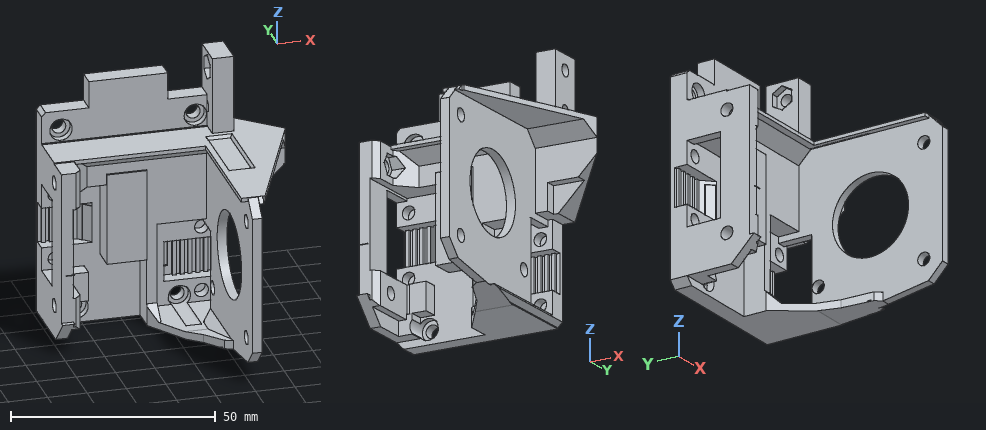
import cadquery as cq
import math


PLATE_WIDTH = 44.0
PLATE_HEIGHT = 57.05
PLATE_DEPTH = 5.0
TOP_CORNER = 1.0
BOTTOM_LEFT_CORNER = 2.0
BOTTOM_RIGHT_CORNER = 1.6
TAB_LEFT, TAB_RIGHT, TAB_TOP = 12.0, 32.05, 64.05
POST_LEFT, POST_RIGHT, POST_TOP = 42.0, 47.5, 68.65
POST_DEPTH = 9.7

SHELF_TOP = 48.7
SHELF_THICKNESS = 1.0
SHELF_DEPTH = 16.6
SHELF_INNER_X = 38.45
SHELF_END_DEPTH = 49.3
GUSSET_THICKNESS = 1.45
GUSSET_TIP_X, GUSSET_TIP_DEPTH = 60.15, 11.2
GUSSET_NOSE_X, GUSSET_NOSE_DEPTH = 43.9, 50.8
GUSSET_BRACE = 3.9
SEAM_WIDTH, SEAM_HEIGHT = 0.3, 0.2

WALL_DEPTH = 11.0
WALL_LEFT = 5.15
WALL_CHAMFER = 3.5
WALL_CORNER = 4.7
BLOCK_LEFT, BLOCK_RIGHT, BLOCK_BOTTOM, BLOCK_TOP = 14.8, 25.0, 17.65, 41.5
BLOCK_DEPTH = 11.5
RIB_RIGHT = 27.7

LEFT_BAY_BOTTOM, LEFT_BAY_TOP = 15.0, 38.65
RIGHT_BAY_TOP = 26.65
FLOOR = 2.0

ARM_WIDTH = 5.15
ARM_DEPTH = 23.35
ARM_TOP = 48.4
ARM_CHAMFER = 1.5
ARM_OUTER_WIDTH = 3.0
LIP_DEPTH, LIP_TOP = 24.65, 8.65
ARM_INNER_BOTTOM = 6.0
WINDOW_TOP = 37.95
WINDOW_DEPTH = 14.75
FOOT_RIGHT, FOOT_TOP = 6.8, 7.35
PAD_LEFT, PAD_RIGHT, PAD_DEPTH = 6.05, 10.8, 9.1
PAD_STEP = 0.35

MOTOR_LEFT, MOTOR_RIGHT = 40.15, 42.7
MOTOR_DEPTH = 53.3
MOTOR_CORNER = 4.1
MOTOR_LOW, MOTOR_CORNER_LOW = 4.45, 8.7
SLOPE_START = 22.0
MOTOR_BORE = 22.3
MOTOR_BORE_DEPTH, MOTOR_BORE_Z = 32.05, 26.0
MOTOR_HOLE_PITCH = 31.0
MOTOR_HOLE_DEPTH, MOTOR_HOLE_Z = 16.7, 10.6
PASSAGE_TOP = 24.9
PASSAGE_DEPTH, PASSAGE_TAPER = 14.75, 1.5

SCREW = 3.5
COUNTERBORE = 5.6
COUNTERBORE_DEPTH = 2.0
TOP_SCREW_X, TOP_SCREW_Z = (4.95, 39.0), 52.05
LOW_SCREW_X, LOW_SCREW_Z = (9.0, 34.95), 4.0
LOW_COUNTERBORE_END = 18.3
CLAMP_PITCH = 17.0
CLAMP_HOLE_LENGTH = 3.0
LEFT_CLAMP_X, LEFT_CLAMP_Z = 3.4, 17.85
RIGHT_CLAMP_X, RIGHT_CLAMP_Z = 40.6, 4.95
NUT = 5.6
ARM_NUT_Z = 43.4
ARM_NUT_START = 3.6
POST_HOLE_DEPTH = 4.8
POST_TOP_HOLE, POST_TOP_HOLE_Z = 3.2, 64.4
POST_LOW_HOLE, POST_LOW_HOLE_Z = 3.0, 54.0
POST_NUT_DEPTH = 2.05

BELT_PITCH = 2.0
TOOTH_STEP = BELT_PITCH / 2
TOOTH_DEPTH, ROOT_DEPTH = 2.0, 1.25
BELT_HEIGHT = 10.6
LEFT_BELT_Z, LEFT_TEETH_END = 21.0, 9.8
RIGHT_BELT_Z, RIGHT_BELT_START, RIGHT_TEETH_START = 8.4, 31.0, 34.05
RAMP_LENGTH = PLATE_DEPTH - TOOTH_DEPTH
RAMP_POCKET_START = 1.1
RAMP_POCKET_LIFT = 0.95
RAMP_POCKET_RECESS = 0.3
END_POCKET_WIDTH, END_POCKET_LIFT, END_POCKET_DEPTH = 2.0, 2.4, 0.6

WEB_RISE_START, WEB_END, WEB_END_TOP = 21.7, 35.7, 4.6
WEB_WEDGE_WIDTH, WEB_WEDGE_TOP, WEB_WEDGE_START = 2.5, 4.25, 14.75
WEB_RIGHT_END = 33.65
WEB_BEND_X, WEB_BEND_DEPTH = 35.15, 26.7
WEB_TAIL_X, WEB_TAIL_DEPTH = 38.3, 34.3
RIB_FOOT = 3.65

LABEL_LEFT, LABEL_RIGHT = 40.0, 46.6
LABEL_START, LABEL_END = 11.1, 32.3
LABEL_TAPER = 0.55
LABEL_RECESS = 0.8
RELIEF_LEFT, RELIEF_TOP, RELIEF_DEPTH = 46.2, 34.0, 8.25

STRAND_LEFT = 0.95
STRAND_SIZE = 0.1
STRAND_DEPTH, STRAND_Z = 24.2, 21.55


def block(x, depth, z):
    """Box between two x, two depth and two z limits."""
    size = (x[1] - x[0], depth[1] - depth[0], z[1] - z[0])
    return cq.Workplane("XY").box(*size, centered=False).translate((x[0], -depth[1], z[0]))


def prism_up(outline, bottom, top):
    """Prism of an (x, depth) outline between two heights."""
    points = [(x, -depth) for x, depth in outline]
    return cq.Workplane("XY").workplane(offset=bottom).polyline(points).close().extrude(top - bottom)


def prism_across(outline, left, right):
    """Prism of a (depth, z) outline between two x limits."""
    points = [(-depth, z) for depth, z in outline]
    return cq.Workplane("YZ").workplane(offset=left).polyline(points).close().extrude(right - left)


def prism_forward(outline, back, front):
    """Prism of an (x, z) outline between two depths."""
    return cq.Workplane("XZ").workplane(offset=back).polyline(outline).close().extrude(front - back)


def hole_across(diameter, depth, z, left, right):
    start = cq.Workplane("YZ").workplane(offset=left).center(-depth, z)
    return start.circle(diameter / 2).extrude(right - left)


def hole_forward(diameter, x, z, back, front):
    start = cq.Workplane("XZ").workplane(offset=back).center(x, z)
    return start.circle(diameter / 2).extrude(front - back)


def nut_across(depth, z, left, right, turn):
    """Hexagonal nut trap along x; turn is the rotation of its corners in degrees."""
    corner = NUT / math.sqrt(3)
    angles = [math.radians(turn + 60 * i) for i in range(6)]
    outline = [(depth + corner * math.cos(a), z + corner * math.sin(a)) for a in angles]
    return prism_across(outline, left, right)


def make_plate():
    outline = [
        (BOTTOM_LEFT_CORNER, 0),
        (PLATE_WIDTH - BOTTOM_RIGHT_CORNER, 0),
        (PLATE_WIDTH, BOTTOM_RIGHT_CORNER),
        (PLATE_WIDTH, PLATE_HEIGHT),
        (TAB_RIGHT, PLATE_HEIGHT),
        (TAB_RIGHT, TAB_TOP),
        (TAB_LEFT, TAB_TOP),
        (TAB_LEFT, PLATE_HEIGHT),
        (TOP_CORNER, PLATE_HEIGHT),
        (0, PLATE_HEIGHT - TOP_CORNER),
        (0, BOTTOM_LEFT_CORNER),
    ]
    plate = prism_forward(outline, 0, PLATE_DEPTH)
    post = block((POST_LEFT, POST_RIGHT), (0, POST_DEPTH), (SHELF_TOP - SHELF_THICKNESS, POST_TOP))
    return plate.union(post)


def gusset_outline():
    """Outline of the gusset, cut off where the shelf ends on its slanted side."""
    end_share = (GUSSET_NOSE_DEPTH - SHELF_END_DEPTH) / (GUSSET_NOSE_DEPTH - GUSSET_TIP_DEPTH)
    end_x = GUSSET_NOSE_X + end_share * (GUSSET_TIP_X - GUSSET_NOSE_X)
    return [
        (MOTOR_LEFT, 0),
        (POST_RIGHT, 0),
        (GUSSET_TIP_X, GUSSET_TIP_DEPTH),
        (end_x, SHELF_END_DEPTH),
        (MOTOR_LEFT, SHELF_END_DEPTH),
    ]


def make_shelf():
    shelf = block((0, POST_RIGHT), (0, SHELF_DEPTH), (SHELF_TOP - SHELF_THICKNESS, SHELF_TOP))
    gusset = prism_up(gusset_outline(), SHELF_TOP - GUSSET_THICKNESS, SHELF_TOP)
    overhang = block(
        (SHELF_INNER_X, MOTOR_RIGHT),
        (SHELF_DEPTH, SHELF_END_DEPTH),
        (SHELF_TOP - SHELF_THICKNESS, SHELF_TOP),
    )
    seam = block(
        (0, POST_LEFT), (PLATE_DEPTH, PLATE_DEPTH + SEAM_WIDTH), (SHELF_TOP, SHELF_TOP + SEAM_HEIGHT)
    )
    return shelf.union(gusset).union(overhang).union(seam)


def make_gusset_wall():
    """Wall under the gusset tip, with a 45 degree foot line and a 45 degree brace under the shelf."""
    tip_bottom = RIGHT_BAY_TOP + GUSSET_TIP_X - POST_RIGHT
    side = [
        (MOTOR_LEFT, RIGHT_BAY_TOP),
        (POST_RIGHT, RIGHT_BAY_TOP),
        (GUSSET_TIP_X, tip_bottom),
        (GUSSET_TIP_X, SHELF_TOP),
        (MOTOR_LEFT, SHELF_TOP),
    ]
    wall = prism_forward(side, 0, GUSSET_TIP_DEPTH)
    under_shelf = SHELF_TOP - GUSSET_THICKNESS
    brace = prism_across(
        [
            (GUSSET_TIP_DEPTH, under_shelf),
            (GUSSET_TIP_DEPTH + GUSSET_BRACE, under_shelf),
            (GUSSET_TIP_DEPTH, under_shelf - GUSSET_BRACE),
        ],
        MOTOR_LEFT,
        GUSSET_TIP_X,
    )
    relief = block(
        (RELIEF_LEFT, GUSSET_TIP_X), (RELIEF_DEPTH, GUSSET_TIP_DEPTH), (RIGHT_BAY_TOP, RELIEF_TOP)
    )
    return wall.union(brace).intersect(prism_up(gusset_outline(), 0, SHELF_TOP)).cut(relief)


def make_wall():
    """Wall in front of the plate, chamfered into the shelf above and the arm on its left."""
    upper_left = block((0, RIB_RIGHT), (0, WALL_DEPTH), (LEFT_BAY_TOP, SHELF_TOP))
    upper_right = block((BLOCK_RIGHT, MOTOR_RIGHT), (0, WALL_DEPTH), (RIGHT_BAY_TOP, SHELF_TOP))
    rib = block((BLOCK_RIGHT, RIB_RIGHT), (0, WALL_DEPTH), (0, SHELF_TOP))
    raised = block((BLOCK_LEFT, BLOCK_RIGHT), (0, BLOCK_DEPTH), (BLOCK_BOTTOM, BLOCK_TOP))
    under_shelf = SHELF_TOP - SHELF_THICKNESS
    chamfer = prism_across(
        [
            (WALL_DEPTH, under_shelf),
            (WALL_DEPTH + WALL_CHAMFER, under_shelf),
            (WALL_DEPTH, under_shelf - WALL_CHAMFER),
        ],
        0,
        MOTOR_RIGHT,
    )
    corner = prism_up(
        [
            (WALL_LEFT, WALL_DEPTH),
            (WALL_LEFT + WALL_CORNER, WALL_DEPTH),
            (WALL_LEFT, WALL_DEPTH + WALL_CORNER),
        ],
        LEFT_BAY_TOP,
        SHELF_TOP,
    )
    return upper_left.union(upper_right).union(rib).union(raised).union(chamfer).union(corner)


def make_arm():
    outline = [
        (0, 0),
        (0, ARM_DEPTH),
        (ARM_WIDTH - ARM_CHAMFER, ARM_DEPTH),
        (ARM_WIDTH, ARM_DEPTH - ARM_CHAMFER),
        (ARM_WIDTH, 0),
    ]
    arm = prism_up(outline, FLOOR, ARM_TOP)
    arm = arm.union(block((0, ARM_OUTER_WIDTH), (0, LIP_DEPTH), (FLOOR, LIP_TOP)))
    under_lip = prism_across(
        [(LIP_DEPTH, LIP_TOP), (LIP_DEPTH - LIP_TOP, 0), (LIP_DEPTH, 0)], 0, ARM_WIDTH
    )
    arm = arm.cut(under_lip)
    arm = arm.cut(block((ARM_OUTER_WIDTH, ARM_WIDTH), (PLATE_DEPTH, LIP_DEPTH), (0, ARM_INNER_BOTTOM)))
    bay = (LEFT_BAY_BOTTOM, LEFT_BAY_TOP)
    arm = arm.cut(block((ARM_OUTER_WIDTH, ARM_WIDTH), (PLATE_DEPTH, LIP_DEPTH), bay))
    arm = arm.cut(block((0, ARM_WIDTH), (PLATE_DEPTH, WINDOW_DEPTH), (LEFT_BAY_BOTTOM, WINDOW_TOP)))
    foot = block((0, FOOT_RIGHT), (0, PAD_DEPTH), (FLOOR, FOOT_TOP))
    pad = block((PAD_LEFT, PAD_RIGHT), (0, PAD_DEPTH), (FOOT_TOP, LEFT_BAY_BOTTOM))
    pad_link = block((0, PAD_LEFT), (0, PAD_DEPTH - PAD_STEP), (FOOT_TOP, LEFT_BAY_BOTTOM))
    return arm.union(foot).union(pad).union(pad_link)


def slope_z(depth):
    """Height of the sloping underside of the motor plate and the bottom web."""
    return (depth - SLOPE_START) * MOTOR_LOW / (SHELF_END_DEPTH - SLOPE_START)


def make_motor_plate():
    outline = [
        (0, 0),
        (SLOPE_START, 0),
        (MOTOR_DEPTH - MOTOR_CORNER, MOTOR_LOW),
        (MOTOR_DEPTH, MOTOR_CORNER_LOW),
        (MOTOR_DEPTH, SHELF_TOP - MOTOR_CORNER),
        (MOTOR_DEPTH - MOTOR_CORNER, SHELF_TOP),
        (0, SHELF_TOP),
    ]
    plate = prism_across(outline, MOTOR_LEFT, MOTOR_RIGHT)
    nose = prism_across(
        [
            (SHELF_END_DEPTH, SHELF_TOP - GUSSET_THICKNESS),
            (SHELF_END_DEPTH, SHELF_TOP),
            (GUSSET_NOSE_DEPTH, SHELF_TOP - GUSSET_THICKNESS),
        ],
        MOTOR_RIGHT,
        GUSSET_NOSE_X,
    )
    passage = prism_up(
        [
            (MOTOR_LEFT, PLATE_DEPTH),
            (MOTOR_LEFT, PASSAGE_DEPTH),
            (MOTOR_RIGHT, PASSAGE_DEPTH - PASSAGE_TAPER),
            (MOTOR_RIGHT, PLATE_DEPTH),
        ],
        FLOOR,
        PASSAGE_TOP,
    )
    plate = plate.union(nose).cut(passage)
    return plate.cut(hole_across(MOTOR_BORE, MOTOR_BORE_DEPTH, MOTOR_BORE_Z, MOTOR_LEFT, MOTOR_RIGHT))


def make_web():
    """Floor that reaches from the rib to the motor plate and rises along it."""
    outline = [
        (BLOCK_RIGHT, 0),
        (BLOCK_RIGHT, BLOCK_DEPTH),
        (WEB_BEND_X, WEB_BEND_DEPTH),
        (WEB_TAIL_X, WEB_TAIL_DEPTH),
        (MOTOR_LEFT, WEB_END),
        (MOTOR_RIGHT, WEB_END),
        (MOTOR_RIGHT, WEB_RIGHT_END),
        (PLATE_WIDTH, WEB_RIGHT_END),
        (PLATE_WIDTH, 0),
    ]
    profile = [
        (0, 0),
        (SLOPE_START, 0),
        (WEB_END, slope_z(WEB_END)),
        (WEB_END, WEB_END_TOP),
        (WEB_RISE_START, FLOOR),
        (0, FLOOR),
    ]
    footprint = prism_up(outline, 0, FLOOR + RIB_FOOT)
    web = footprint.intersect(prism_across(profile, 0, PLATE_WIDTH))
    rib_foot = prism_across(
        [(WALL_DEPTH, FLOOR), (WALL_DEPTH + RIB_FOOT, FLOOR), (WALL_DEPTH, FLOOR + RIB_FOOT)],
        BLOCK_RIGHT,
        RIB_RIGHT,
    )
    web = web.union(rib_foot.intersect(footprint))
    web = web.cut(block((MOTOR_RIGHT, PLATE_WIDTH), (0, WEB_END), (FLOOR, WEB_END_TOP)))
    corner = prism_forward(
        [
            (PLATE_WIDTH - BOTTOM_RIGHT_CORNER, 0),
            (PLATE_WIDTH, BOTTOM_RIGHT_CORNER),
            (PLATE_WIDTH, 0),
        ],
        0,
        WEB_END,
    )
    wedge = prism_forward(
        [
            (MOTOR_LEFT - WEB_WEDGE_WIDTH, FLOOR),
            (MOTOR_LEFT, FLOOR),
            (MOTOR_LEFT, WEB_WEDGE_TOP),
        ],
        WEB_WEDGE_START,
        WEB_RIGHT_END,
    )
    wedge_start = prism_up(
        [
            (MOTOR_LEFT, WEB_WEDGE_START),
            (MOTOR_LEFT - WEB_WEDGE_WIDTH, WEB_WEDGE_START),
            (MOTOR_LEFT - WEB_WEDGE_WIDTH, WEB_WEDGE_START + WEB_WEDGE_WIDTH),
        ],
        FLOOR,
        WEB_WEDGE_TOP,
    )
    return web.cut(corner).union(wedge.cut(wedge_start))


def tooth_roots(start, count, bottom):
    """Grooves between the belt teeth, one per belt pitch."""
    roots = cq.Workplane("XY")
    for i in range(count):
        left = start + i * BELT_PITCH
        roots = roots.union(
            block((left, left + TOOTH_STEP), (ROOT_DEPTH, PLATE_DEPTH), (bottom, bottom + BELT_HEIGHT))
        )
    return roots


def make_left_belt_pocket():
    """Toothed pocket, open on the left, whose right end is a 45 degree ramp with its own recess."""
    top = LEFT_BELT_Z + BELT_HEIGHT
    ramp_end = LEFT_TEETH_END + RAMP_LENGTH
    channel = prism_up(
        [(0, PLATE_DEPTH), (0, TOOTH_DEPTH), (LEFT_TEETH_END, TOOTH_DEPTH), (ramp_end, PLATE_DEPTH)],
        LEFT_BELT_Z,
        top,
    )
    recess_start = LEFT_TEETH_END + RAMP_POCKET_START
    recess = prism_up(
        [
            (recess_start, PLATE_DEPTH),
            (recess_start, TOOTH_DEPTH + RAMP_POCKET_START - RAMP_POCKET_RECESS),
            (ramp_end, PLATE_DEPTH - RAMP_POCKET_RECESS),
            (ramp_end, PLATE_DEPTH),
        ],
        LEFT_BELT_Z,
        top - RAMP_POCKET_LIFT,
    )
    count = math.ceil(LEFT_TEETH_END / BELT_PITCH)
    first = LEFT_TEETH_END - count * BELT_PITCH
    return channel.union(recess).union(tooth_roots(first, count, LEFT_BELT_Z))


def make_right_belt_pocket():
    """Toothed pocket, open on the right, with a recess for the belt end."""
    top = RIGHT_BELT_Z + BELT_HEIGHT
    channel = block((RIGHT_BELT_START, PLATE_WIDTH), (TOOTH_DEPTH, PLATE_DEPTH), (RIGHT_BELT_Z, top))
    lead = block((RIGHT_BELT_START, RIGHT_TEETH_START), (ROOT_DEPTH, PLATE_DEPTH), (RIGHT_BELT_Z, top))
    end = block(
        (RIGHT_BELT_START, RIGHT_BELT_START + END_POCKET_WIDTH),
        (END_POCKET_DEPTH, PLATE_DEPTH),
        (RIGHT_BELT_Z + END_POCKET_LIFT, top),
    )
    first = RIGHT_TEETH_START + TOOTH_STEP
    count = math.ceil((PLATE_WIDTH - first) / BELT_PITCH)
    return channel.union(lead).union(end).union(tooth_roots(first, count, RIGHT_BELT_Z))


def make_plate_holes():
    holes = cq.Workplane("XY")
    seat = PLATE_DEPTH - COUNTERBORE_DEPTH
    for x in TOP_SCREW_X:
        holes = holes.union(hole_forward(SCREW, x, TOP_SCREW_Z, 0, PLATE_DEPTH))
        holes = holes.union(hole_forward(COUNTERBORE, x, TOP_SCREW_Z, seat, PLATE_DEPTH))
    for x in LOW_SCREW_X:
        holes = holes.union(hole_forward(SCREW, x, LOW_SCREW_Z, 0, PLATE_DEPTH))
        holes = holes.union(hole_forward(COUNTERBORE, x, LOW_SCREW_Z, seat, LOW_COUNTERBORE_END))
    for x, low_z in ((LEFT_CLAMP_X, LEFT_CLAMP_Z), (RIGHT_CLAMP_X, RIGHT_CLAMP_Z)):
        for z in (low_z, low_z + CLAMP_PITCH):
            holes = holes.union(hole_forward(SCREW, x, z, PLATE_DEPTH - CLAMP_HOLE_LENGTH, PLATE_DEPTH))
    return holes


def make_cross_holes():
    """Holes and nut traps along x in the arm, the motor plate and the post."""
    far_depth = MOTOR_HOLE_DEPTH + MOTOR_HOLE_PITCH
    holes = hole_across(SCREW, far_depth, MOTOR_HOLE_Z, MOTOR_LEFT, MOTOR_RIGHT)
    holes = holes.union(
        hole_across(SCREW, far_depth, MOTOR_HOLE_Z + MOTOR_HOLE_PITCH, MOTOR_LEFT, MOTOR_RIGHT)
    )
    holes = holes.union(hole_across(SCREW, MOTOR_HOLE_DEPTH, MOTOR_HOLE_Z, MOTOR_LEFT, MOTOR_RIGHT))
    holes = holes.union(hole_across(SCREW, MOTOR_HOLE_DEPTH, MOTOR_HOLE_Z, 0, ARM_WIDTH))
    holes = holes.union(hole_across(SCREW, MOTOR_HOLE_DEPTH, ARM_NUT_Z, 0, ARM_WIDTH))
    holes = holes.union(
        nut_across(MOTOR_HOLE_DEPTH, ARM_NUT_Z, ARM_NUT_START, WALL_LEFT + WALL_CORNER, 0)
    )
    post_holes = ((POST_TOP_HOLE, POST_TOP_HOLE_Z), (POST_LOW_HOLE, POST_LOW_HOLE_Z))
    for diameter, z in post_holes:
        holes = holes.union(hole_across(diameter, POST_HOLE_DEPTH, z, POST_LEFT, POST_RIGHT))
    return holes.union(
        nut_across(POST_HOLE_DEPTH, POST_TOP_HOLE_Z, POST_LEFT, POST_LEFT + POST_NUT_DEPTH, 90)
    )


def make_label_recess():
    """Shallow recess with a straight left wall and three sloping walls."""
    top_outline = [
        (LABEL_LEFT, -LABEL_START),
        (LABEL_RIGHT, -LABEL_START),
        (LABEL_RIGHT, -LABEL_END),
        (LABEL_LEFT, -LABEL_END),
    ]
    floor_outline = [
        (LABEL_LEFT, -LABEL_START - LABEL_TAPER),
        (LABEL_RIGHT - LABEL_TAPER, -LABEL_START - LABEL_TAPER),
        (LABEL_RIGHT - LABEL_TAPER, -LABEL_END + LABEL_TAPER),
        (LABEL_LEFT, -LABEL_END + LABEL_TAPER),
    ]
    floor = cq.Workplane("XY").workplane(offset=SHELF_TOP - LABEL_RECESS).polyline(floor_outline).close()
    return floor.workplane(offset=LABEL_RECESS).polyline(top_outline).close().loft(ruled=True)


def make_bracket():
    bracket = make_plate()
    for part in (make_shelf(), make_gusset_wall(), make_wall(), make_arm(), make_motor_plate(), make_web()):
        bracket = bracket.union(part)
    bracket = bracket.cut(make_left_belt_pocket()).cut(make_right_belt_pocket())
    bracket = bracket.cut(make_plate_holes()).cut(make_cross_holes())
    return bracket.cut(make_label_recess())


def make_strand():
    return block(
        (STRAND_LEFT, ARM_OUTER_WIDTH),
        (STRAND_DEPTH, STRAND_DEPTH + STRAND_SIZE),
        (STRAND_Z, STRAND_Z + STRAND_SIZE),
    )


bracket = make_bracket()
strand = make_strand()
result = cq.Compound.makeCompound([*bracket.solids().vals(), strand.val()])